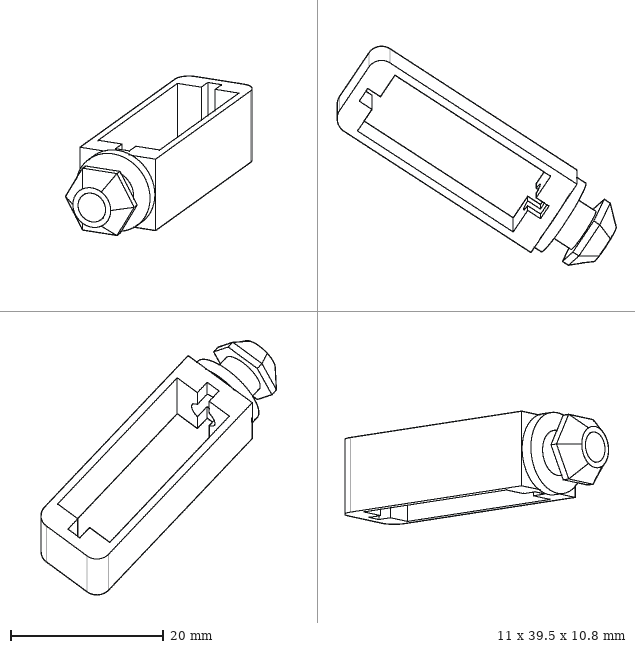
import cadquery as cq

frame_width = 11.0
frame_height = 10.0
frame_length = 31.5
corner_radius = 2.0
side_wall = 1.03
end_wall = 3.48
notch_width = 2.0
notch_depth = 2.0

collar_diameter = 10.8
collar_length = 1.5
neck_diameter = 6.0
neck_length = 3.12
hex_across_corners = 10.0
hex_length = 0.95
total_length = 39.5
tip_diameter = 5.5
bore_diameter = 4.0

collar_front = -collar_length
neck_front = collar_front - neck_length
taper_start = neck_front - hex_length
tip = frame_length - total_length
taper_length = taper_start - tip
bore_length = end_wall - tip


def plane_at(y):
    """Sketch plane at the given Y, extruding toward -Y."""
    return cq.Workplane("XZ", origin=(0, y, 0))


def make_frame():
    block = (
        cq.Workplane("XY")
        .box(frame_width, frame_length, frame_height)
        .edges("|Z and >Y")
        .fillet(corner_radius)
    )
    opening_length = frame_length - 2 * end_wall
    opening = cq.Workplane("XY").box(frame_width - 2 * side_wall, opening_length, frame_height)
    notches = cq.Workplane("XY").box(notch_width, opening_length + 2 * notch_depth, frame_height)
    return block.cut(opening).cut(notches).translate((0, frame_length / 2, 0))


def make_head():
    hexagon = plane_at(neck_front).polygon(6, hex_across_corners).extrude(hex_length)
    taper = (
        plane_at(taper_start)
        .polygon(6, hex_across_corners)
        .workplane(offset=taper_length)
        .circle(tip_diameter / 2)
        .loft(ruled=True)
    )
    return hexagon.union(taper)


def make_plug():
    collar = plane_at(0).circle(collar_diameter / 2).extrude(collar_length)
    neck = plane_at(collar_front).circle(neck_diameter / 2).extrude(neck_length)
    return collar.union(neck).union(make_head())


bore = plane_at(end_wall).circle(bore_diameter / 2).extrude(bore_length)

result = make_frame().union(make_plug()).cut(bore)